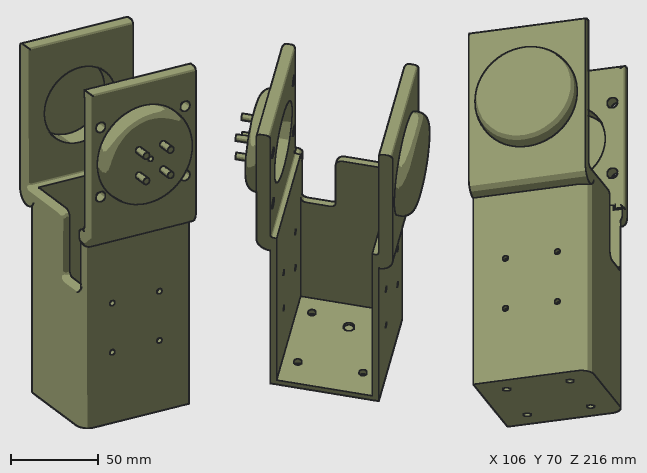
import cadquery as cq

total_height = 216.0
depth = 70.0
front_y = -depth / 2
back_y = depth / 2

box_width = 63.5
side_wall = 3.9
front_wall = 5.5
floor_thickness = 3.9
wall_top = 127.5
corner_radius = 7.5
inner_half = box_width / 2 - side_wall
inner_front_y = front_y + front_wall

plate_outer = 39.7
plate_thickness = 8.2
plate_inner = plate_outer - plate_thickness
bend_radius = plate_thickness
bend_end_radius = 4.0
bend_end_z = 122.6
bend_z = 124.1
root_radius = 2.0
edge_radius = 2.8
top_edge_radius = 2.5

notch_left = 7.5
notch_bottom = 86.5
notch_lower_radius = 3.2
notch_upper_radius = 4.3

housing_z = 170.1
housing_diameter = 60.2
housing_end = 48.5
housing_edge_radius = 6.5
recess_diameter = 47.3
recess_z = 171.2
recess_floor = 3.9
vent_diameter = 3.0
pin_diameter = 4.0
pin_end = 57.5
pins_z = 169.7
pin_spacing = 16.0

plate_hole_diameter = 6.3
plate_hole_spacing_y = 55.7
plate_hole_spacing_z = 43.8
wall_hole_diameter = 3.2
wall_hole_spacing = 31.0
wall_holes_z = 60.2
floor_hole_diameter = 4.5
floor_hole_spacing = 38.0
floor_recess_diameter = 6.3
floor_recess_x = -3.9
floor_recess_y = -13.0
floor_recess_depth = floor_thickness / 2


def block(x0, x1, y0, y1, z0, z1):
    """Box between two opposite corners."""
    return cq.Workplane("XY").box(x1 - x0, y1 - y0, z1 - z0, centered=False).translate((x0, y0, z0))


def rod(diameter, x0, x1, y, z):
    """Cylinder along X."""
    return cq.Workplane("YZ", origin=(x0, y, z)).circle(diameter / 2).extrude(x1 - x0)


def grid(spacing_a, spacing_b):
    """Corners of a centred rectangle."""
    return [(a * spacing_a / 2, b * spacing_b / 2) for a in (-1, 1) for b in (-1, 1)]


def near(x, y, z):
    """Selector for the edge whose centre is closest to a point."""
    return cq.selectors.NearestToPointSelector((x, y, z))


def box_shell():
    half = box_width / 2
    outside = block(-half, half, front_y, back_y, 0, wall_top)
    outside = outside.edges("|Z and <Y").fillet(corner_radius)
    cavity = block(-inner_half, inner_half, inner_front_y, back_y, floor_thickness, wall_top)
    return outside.cut(cavity)


def upright(side):
    """Plate with its rolled lower end; side is -1 for left and 1 for right."""
    root_x = plate_inner - root_radius
    root_z = wall_top + root_radius
    plate_body = (
        cq.Workplane("XZ", origin=(0, back_y, 0))
        .moveTo(plate_outer, bend_z)
        .lineTo(plate_outer, total_height)
        .lineTo(plate_inner, total_height)
        .lineTo(plate_inner, root_z)
        .radiusArc((root_x, wall_top), root_radius)
        .lineTo(inner_half, wall_top)
        .lineTo(plate_inner - bend_radius, wall_top)
        .lineTo(plate_inner - bend_radius, bend_z)
        .threePointArc((plate_inner, bend_z - bend_radius), (plate_outer, bend_z))
        .close()
        .extrude(depth)
    )
    cavity_front = front_y if side > 0 else inner_front_y
    cavity = block(0, inner_half, cavity_front, back_y, 0, total_height)
    plate_body = plate_body.cut(cavity)
    return plate_body if side > 0 else plate_body.mirror("YZ")


def opening():
    """Space between the plates and above the front wall, flared where it meets the front face.

    Its flare rounds the front edges of the left plate, the front wall and the notch.
    """
    root_x = -plate_inner + root_radius
    root_z = wall_top + root_radius
    above = total_height + 21.5
    rear_y = back_y + 2.2
    space = (
        cq.Workplane("XZ", origin=(0, rear_y, 0))
        .moveTo(-plate_inner, above)
        .lineTo(-plate_inner, root_z)
        .radiusArc((root_x, wall_top), -root_radius)
        .lineTo(notch_left - notch_upper_radius, wall_top)
        .radiusArc((notch_left, wall_top - notch_upper_radius), notch_upper_radius)
        .lineTo(notch_left, notch_bottom + notch_lower_radius)
        .radiusArc((notch_left + notch_lower_radius, notch_bottom), -notch_lower_radius)
        .lineTo(inner_half - notch_lower_radius, notch_bottom)
        .radiusArc((inner_half, notch_bottom + notch_lower_radius), -notch_lower_radius)
        .lineTo(inner_half, above)
        .close()
    )
    margin = 21.5
    surround = block(
        -plate_outer - margin, inner_half + margin, front_y, rear_y, notch_bottom - margin, above
    )
    rounded = surround.cut(space.extrude(rear_y - front_y))
    rounded = rounded.edges(near(-plate_inner, front_y, (root_z + above) / 2)).fillet(edge_radius)
    flared = surround.cut(rounded)
    return flared.intersect(block(-plate_outer, inner_half, front_y, rear_y, 0, above))


def left_upright():
    return round_top(upright(-1))


def right_upright():
    """Right plate, with its front edges rounded down to the end of the bend."""
    plate = upright(1)
    plate_mid_z = (wall_top + total_height) / 2
    for x in (plate_inner, plate_outer):
        plate = plate.edges(near(x, front_y, plate_mid_z)).fillet(edge_radius)
    return plate.intersect(round_top(upright(1)))


def round_top(plate):
    return plate.faces(">Z").edges("|Y").fillet(top_edge_radius)


def shape_bend_end(body):
    """Give the front end of the right bend a round top, as thick as the front wall."""
    rear_y = inner_front_y
    corner = block(inner_half, plate_inner, front_y, rear_y, bend_z, wall_top + root_radius)
    pivot = cq.Workplane("XZ", origin=(plate_inner, rear_y, bend_end_z))
    pivot = pivot.circle(bend_end_radius).extrude(front_wall)
    pivot = pivot.intersect(block(inner_half, plate_outer, front_y, rear_y, bend_end_z, total_height))
    return body.cut(corner).union(pivot)


def housing(side):
    """Rounded cap on the outer face of a plate."""
    cap = rod(housing_diameter, plate_inner, housing_end, 0, housing_z)
    cap = cap.faces(">X").edges().fillet(housing_edge_radius)
    return cap if side > 0 else cap.mirror("YZ")


def housing_recess(side):
    """Round recess entering a housing from the inner plate face."""
    recess = rod(recess_diameter, plate_inner, housing_end - recess_floor, 0, recess_z)
    return recess if side > 0 else recess.mirror("YZ")


def pins():
    """Terminal pins on the right housing."""
    pin_group = cq.Workplane("XY")
    for y, z in grid(pin_spacing, pin_spacing):
        pin = rod(pin_diameter, housing_end - recess_floor, pin_end, y, pins_z + z)
        pin_group = pin_group.add(pin)
    return pin_group.combine()


def screw_holes():
    """Holes through the right plate, both side walls and the floor."""
    holes = cq.Workplane("XY")
    for y, z in grid(plate_hole_spacing_y, plate_hole_spacing_z):
        holes = holes.add(rod(plate_hole_diameter, plate_inner, plate_outer, y, recess_z + z))
    for y, z in grid(wall_hole_spacing, wall_hole_spacing):
        holes = holes.add(rod(wall_hole_diameter, -box_width / 2, box_width / 2, y, wall_holes_z + z))
    floor_holes = (
        cq.Workplane("XY")
        .pushPoints(grid(floor_hole_spacing, floor_hole_spacing))
        .circle(floor_hole_diameter / 2)
        .extrude(floor_thickness)
    )
    return holes.add(floor_holes).combine()


def floor_recess():
    """Shallow round recess in the top of the floor."""
    bottom_z = floor_thickness - floor_recess_depth
    recess = cq.Workplane("XY", origin=(floor_recess_x, floor_recess_y, bottom_z))
    return recess.circle(floor_recess_diameter / 2).extrude(floor_recess_depth)


body = box_shell().union(left_upright()).cut(opening())
body = shape_bend_end(body.union(right_upright()))
for side in (-1, 1):
    body = body.union(housing(side)).cut(housing_recess(side))
body = body.union(pins())
body = body.cut(screw_holes()).cut(floor_recess())
vent = rod(vent_diameter, housing_end - recess_floor, housing_end, 0, housing_z)
result = body.cut(vent)